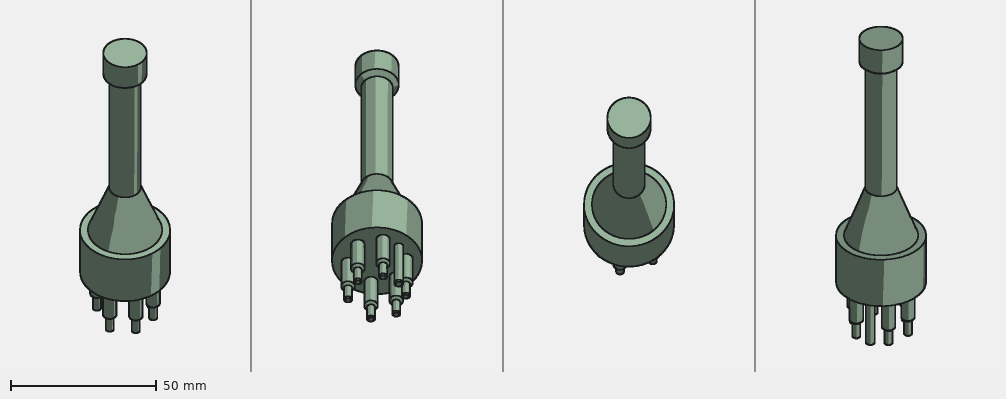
import cadquery as cq
import math

total_height = 119.0
base_diameter = 31.0
base_height = 19.0
flare_diameter = 25.6
flare_height = 19.5
stem_diameter = 11.0
head_diameter = 15.0
head_height = 9.5
head_taper_height = 1.5

pin_length = 19.3
pin_circle_radius = 10.0
pin_tip_diameter = 2.9
pin_shank_diameter = 4.8
pin_tip_length = 6.2
pin_taper_height = (pin_shank_diameter - pin_tip_diameter) / 2
key_pin_diameter = 3.2
pin_end_chamfer = 0.5
pin_spread_angle = 53.5
key_pin_angle = 90.0


def revolve_profile(points):
    """Solid of revolution about Z from a list of (radius, height) points."""
    return cq.Workplane("XZ").polyline(points).close().revolve(360, (0, 0), (0, 1))


def make_body():
    base_top = pin_length + base_height
    flare_top = base_top + flare_height
    head_bottom = total_height - head_height
    return revolve_profile([
        (0, pin_length),
        (base_diameter / 2, pin_length),
        (base_diameter / 2, base_top),
        (flare_diameter / 2, base_top),
        (stem_diameter / 2, flare_top),
        (stem_diameter / 2, head_bottom - head_taper_height),
        (head_diameter / 2, head_bottom),
        (head_diameter / 2, total_height),
        (0, total_height),
    ])


def make_stepped_pin():
    """Contact pin whose thick shank tapers down to a thin tip."""
    tip_radius = pin_tip_diameter / 2
    shank_radius = pin_shank_diameter / 2
    return revolve_profile([
        (0, 0),
        (tip_radius - pin_end_chamfer, 0),
        (tip_radius, pin_end_chamfer),
        (tip_radius, pin_tip_length),
        (shank_radius, pin_tip_length + pin_taper_height),
        (shank_radius, pin_length),
        (0, pin_length),
    ])


def make_key_pin():
    """Straight pin of a single diameter."""
    key_pin = cq.Workplane("XY").circle(key_pin_diameter / 2).extrude(pin_length)
    return key_pin.faces("<Z").chamfer(pin_end_chamfer)


def place_on_pin_circle(pin, angle):
    x = pin_circle_radius * math.cos(math.radians(angle))
    y = pin_circle_radius * math.sin(math.radians(angle))
    return pin.translate((x, y, 0))


result = make_body()

for side_angle in (0, 180):
    for offset_angle in (-pin_spread_angle, 0, pin_spread_angle):
        result = result.union(place_on_pin_circle(make_stepped_pin(), side_angle + offset_angle))

result = result.union(place_on_pin_circle(make_key_pin(), key_pin_angle))